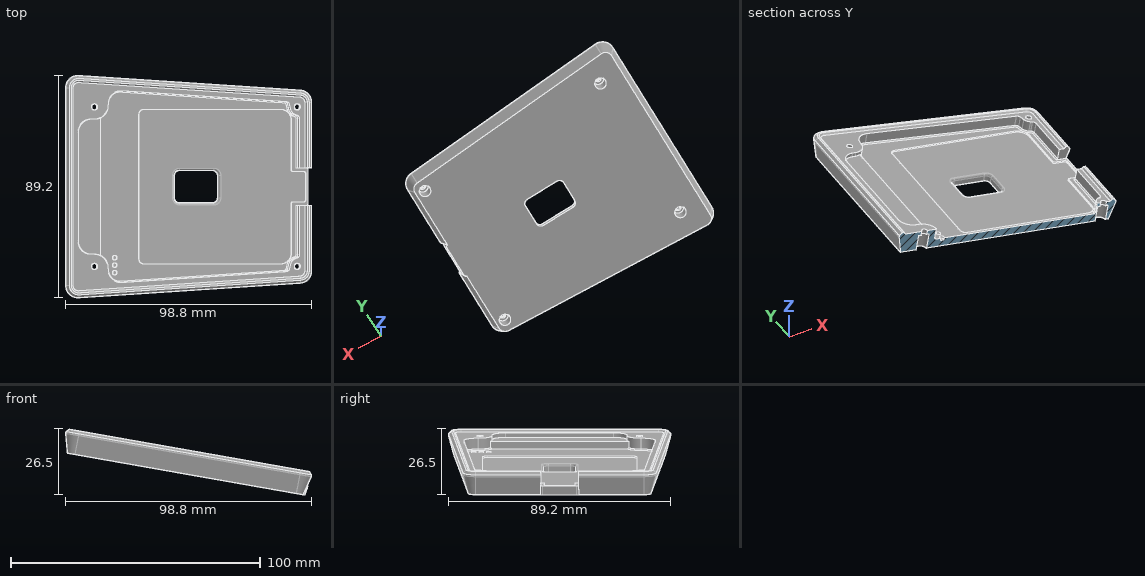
import cadquery as cq
import math

TILT = 10.0

LENGTH = 100.17
WIDE_HALF = 44.96
NARROW_HALF = 38.45
SIDE_SLOPE = (WIDE_HALF - NARROW_HALF) / LENGTH
SIDE_STRETCH = math.hypot(1.0, SIDE_SLOPE)
CORNER_RADIUS = 5.0

HEIGHT = 9.68
RIM_CHAMFER = 1.2
BAND_HEIGHT = 0.75
LIP_DEPTH = 0.85
CHAMFER_BASE = HEIGHT - RIM_CHAMFER
BAND_BASE = CHAMFER_BASE - BAND_HEIGHT
SHELF_LEVEL = HEIGHT - LIP_DEPTH
STEP_LEVEL = 7.0
FLOOR_LEVEL = 3.9
RECESS_LEVEL = 3.3

WALL_DRAFT = 15.0
UNDERSIDE_INSET = BAND_BASE * math.tan(math.radians(WALL_DRAFT))

FOOT_INSET = 1.3
FOOT_TOP_INSET = FOOT_INSET * (1 - FLOOR_LEVEL / BAND_BASE)
FOOT_HALF = 7.8
FOOT_RADIUS = 1.0

RIM_INNER_INSET = 2.0
SHELF_INSET = RIM_INNER_INSET + LIP_DEPTH

POCKET_INSET = 5.0
POCKET_EDGE_CHAMFER = 0.5
STEP_X = 14.4
WIDE_BOSS_X = 17.2
WIDE_BOSS_Y = 27.1
WIDE_BOSS_RADIUS = 5.4
WIDE_SIDE_RADIUS = 5.6
NARROW_BOSS_X = 91.9
NARROW_BOSS_Y = 29.4
NARROW_BOSS_RADIUS = 3.0
NARROW_CORNER_RADIUS = 1.4
NARROW_BOSS_FLARE = 1.1

RECESS_X = (30.6, 92.7)
RECESS_HALF = 31.0
RECESS_WIDE_RADIUS = 2.0
RECESS_NARROW_RADIUS = 4.3
TONGUE_END = 98.6
TONGUE_HALF = 6.15
TONGUE_RADIUS = 1.0
NOTCH_HALF = 7.5

WINDOW_X = 54.25
WINDOW_LENGTH = 17.9
WINDOW_WIDTH = 12.9
WINDOW_RADIUS = 2.0
WINDOW_FILLET = 0.9

SCREW_XS = (11.7, 94.3)
SCREW_Y = 32.0
SCREW_DIAMETER = 2.4
SCREW_HEAD_DIAMETER = 4.6
SCREW_HEAD_DEPTH = 6.8
PIN_X = 20.8
PIN_YS = (-28.5, -31.5, -34.5)
PIN_DIAMETER = 1.8
PIN_DEPTH = 1.0


def side_y(x, inset):
    """Half width at x of the outline whose slanted sides are moved inwards by inset."""
    return WIDE_HALF - SIDE_SLOPE * x - inset * SIDE_STRETCH


def rounded_wire(corners, level):
    """Closed wire at a height through (x, y, radius) corners, rounded by tangent arcs."""
    arcs = []
    for i, (x, y, radius) in enumerate(corners):
        here = cq.Vector(x, y, level)
        before = cq.Vector(*corners[i - 1][:2], level)
        after = cq.Vector(*corners[(i + 1) % len(corners)][:2], level)
        to_before = (before - here).normalized()
        to_after = (after - here).normalized()
        half_angle = to_before.getAngle(to_after) / 2
        reach = radius / math.tan(half_angle)
        bisector = (to_before + to_after).normalized()
        middle = here + bisector * (radius / math.sin(half_angle) - radius)
        arcs.append((here + to_before * reach, middle, here + to_after * reach))
    edges = []
    for i, (start, middle, end) in enumerate(arcs):
        edges.append(cq.Edge.makeLine(arcs[i - 1][2], start))
        edges.append(cq.Edge.makeThreePointArc(start, middle, end))
    return cq.Wire.assembleEdges(edges)


def mirrored(half_corners):
    """Complete a corner list given for +Y, from the wide end to the narrow end."""
    return half_corners + [(x, -y, radius) for x, y, radius in reversed(half_corners)]


def inset_trapezoid(level, inset):
    """Outer outline at a height, moved inwards all round."""
    radius = CORNER_RADIUS - inset
    ends = (inset, LENGTH - inset)
    return rounded_wire(mirrored([(x, side_y(x, inset), radius) for x in ends]), level)


def ruled_solid(lower, upper):
    return cq.Workplane(cq.Solid.makeLoft([lower, upper], True))


def prism(wire, top):
    height = top - wire.Center().z
    return cq.Workplane(cq.Solid.extrudeLinear(wire, [], cq.Vector(0, 0, height)))


def make_body():
    walls = ruled_solid(inset_trapezoid(0, UNDERSIDE_INSET), inset_trapezoid(BAND_BASE, 0))
    band = prism(inset_trapezoid(BAND_BASE, 0), CHAMFER_BASE)
    chamfer = ruled_solid(inset_trapezoid(CHAMFER_BASE, 0), inset_trapezoid(HEIGHT, RIM_CHAMFER))
    return walls.union(band).union(chamfer)


def foot_wire(level, inset):
    ends = (LENGTH - POCKET_INSET, LENGTH - inset)
    return rounded_wire(mirrored([(x, FOOT_HALF, FOOT_RADIUS) for x in ends]), level)


def make_foot():
    return ruled_solid(foot_wire(0, FOOT_INSET), foot_wire(FLOOR_LEVEL, FOOT_TOP_INSET))


def make_lip():
    return ruled_solid(
        inset_trapezoid(SHELF_LEVEL, SHELF_INSET), inset_trapezoid(HEIGHT, RIM_INNER_INSET)
    )


def make_pocket():
    x_wide = POCKET_INSET
    x_narrow = LENGTH - POCKET_INSET
    x_flare = NARROW_BOSS_X - NARROW_BOSS_FLARE
    half = [
        (x_wide, WIDE_BOSS_Y, WIDE_BOSS_RADIUS),
        (WIDE_BOSS_X, WIDE_BOSS_Y, WIDE_BOSS_RADIUS),
        (WIDE_BOSS_X, side_y(WIDE_BOSS_X, POCKET_INSET), WIDE_SIDE_RADIUS),
        (x_flare, side_y(x_flare, POCKET_INSET), NARROW_CORNER_RADIUS),
        (NARROW_BOSS_X, NARROW_BOSS_Y, NARROW_BOSS_RADIUS),
        (x_narrow, NARROW_BOSS_Y - NARROW_BOSS_FLARE, NARROW_CORNER_RADIUS),
    ]
    pocket = prism(rounded_wire(mirrored(half), FLOOR_LEVEL), SHELF_LEVEL)
    pocket = pocket.faces("<Z").edges().chamfer(POCKET_EDGE_CHAMFER)
    step = cq.Workplane().box(STEP_X, 2 * WIDE_HALF, STEP_LEVEL, centered=(False, True, False))
    return pocket.cut(step)


def make_notch():
    start = LENGTH - POCKET_INSET - 2 * POCKET_EDGE_CHAMFER
    return cq.Workplane(origin=(start, 0, FLOOR_LEVEL)).box(
        LENGTH - start, 2 * NOTCH_HALF, HEIGHT - FLOOR_LEVEL, centered=(False, True, False)
    )


def make_recess():
    x_wide, x_narrow = RECESS_X
    half = [
        (x_wide, RECESS_HALF, RECESS_WIDE_RADIUS),
        (x_narrow, RECESS_HALF, RECESS_NARROW_RADIUS),
        (x_narrow, TONGUE_HALF, TONGUE_RADIUS / 2),
        (TONGUE_END, TONGUE_HALF, TONGUE_RADIUS),
    ]
    return prism(rounded_wire(mirrored(half), RECESS_LEVEL), FLOOR_LEVEL)


def make_window():
    ends = (WINDOW_X - WINDOW_LENGTH / 2, WINDOW_X + WINDOW_LENGTH / 2)
    half = [(x, WINDOW_WIDTH / 2, WINDOW_RADIUS) for x in ends]
    return prism(rounded_wire(mirrored(half), 0), RECESS_LEVEL)


def window_rim(plate):
    """Round the upper edge of the window."""
    margin = WINDOW_FILLET / 2
    box = cq.selectors.BoxSelector(
        (WINDOW_X - WINDOW_LENGTH / 2 - margin, -WINDOW_WIDTH / 2 - margin, RECESS_LEVEL - margin),
        (WINDOW_X + WINDOW_LENGTH / 2 + margin, WINDOW_WIDTH / 2 + margin, RECESS_LEVEL + margin),
    )
    return plate.edges(box).fillet(WINDOW_FILLET)


def make_holes():
    screws = [(x, y) for x in SCREW_XS for y in (-SCREW_Y, SCREW_Y)]
    bores = cq.Workplane().pushPoints(screws).circle(SCREW_DIAMETER / 2).extrude(HEIGHT)
    heads = (
        cq.Workplane().pushPoints(screws).circle(SCREW_HEAD_DIAMETER / 2).extrude(SCREW_HEAD_DEPTH)
    )
    pins = (
        cq.Workplane(origin=(PIN_X, 0, FLOOR_LEVEL))
        .pushPoints([(0, y) for y in PIN_YS])
        .circle(PIN_DIAMETER / 2)
        .extrude(-PIN_DEPTH)
    )
    return bores.union(heads).union(pins)


plate = make_body().union(make_foot()).cut(make_lip()).cut(make_pocket()).cut(make_notch())
plate = plate.cut(make_recess()).cut(make_window())
plate = window_rim(plate).cut(make_holes())
result = plate.rotate((0, 0, 0), (0, 1, 0), TILT)